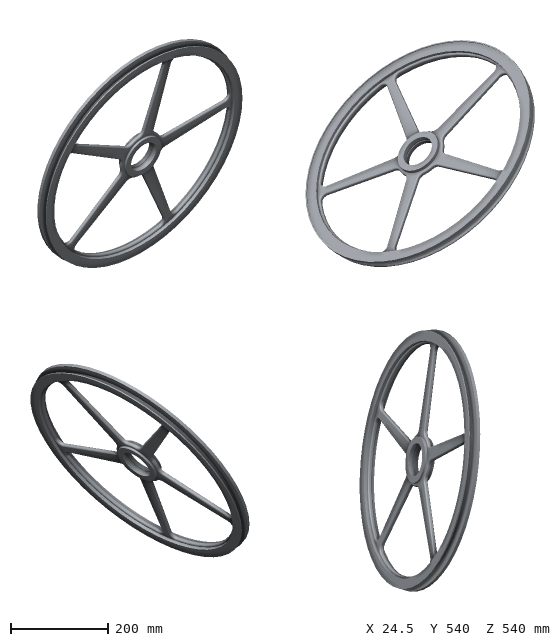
import cadquery as cq
import math

rim_radius = 270.0
back_flange_radius = 267.0
groove_radius = 250.0
rim_inner_radius = 245.0
wheel_width = 24.5
front_flange_width = 7.0
back_flange_width = 4.0
back_flange_chamfer = 1.5
lip_width = 2.5
lip_height = 1.5

hub_radius = 48.0
hub_width = 22.0
hub_root_fillet = 1.0
bore_radius = 34.0
bore_groove_radius = 35.5
bore_groove_width = 4.5

web_front = 8.0
web_thickness = 9.0
web_edge_fillet = 3.0

spoke_count = 5
window_inner_radius = 55.0
window_outer_radius = 240.5
spoke_inner_half_width = 15.0
spoke_outer_half_width = 9.5
window_hub_corner_radius = 16.0
window_rim_corner_radius = 13.5

spoke_pitch = 360 / spoke_count
bore_groove_front = (hub_width - bore_groove_width) / 2


def disc(radius, front, width):
    """Solid disc about the X axis, from x = front to x = front + width."""
    return cq.Workplane("YZ", origin=(front, 0, 0)).circle(radius).extrude(width)


def rim():
    """Two flanges on a grooved ring."""
    back_flange_front = wheel_width - back_flange_width
    back_flange = disc(back_flange_radius, back_flange_front, back_flange_width)
    back_flange = back_flange.faces("<X").chamfer(back_flange_chamfer)
    front_flange = disc(rim_radius, 0, front_flange_width)
    front_flange = front_flange.cut(disc(rim_radius - lip_width, 0, lip_height))
    body = disc(groove_radius, lip_height, wheel_width - lip_height)
    body = body.union(front_flange).union(back_flange)
    return body.cut(disc(rim_inner_radius, 0, wheel_width))


def window():
    """Opening between two spokes, centred on the +Y axis, with rounded corners."""
    half_pitch = math.radians(spoke_pitch / 2)

    def spoke_side_point(radius, half_width):
        angle = half_pitch - math.asin(half_width / radius)
        return radius * math.cos(angle), radius * math.sin(angle)

    inner_y, inner_z = spoke_side_point(window_inner_radius, spoke_inner_half_width)
    outer_y, outer_z = spoke_side_point(window_outer_radius, spoke_outer_half_width)
    outline = (
        cq.Workplane("YZ", origin=(web_front, 0, 0))
        .moveTo(inner_y, -inner_z)
        .lineTo(outer_y, -outer_z)
        .threePointArc((window_outer_radius, 0), (outer_y, outer_z))
        .lineTo(inner_y, inner_z)
        .threePointArc((window_inner_radius, 0), (inner_y, -inner_z))
        .close()
    )
    opening = outline.extrude(web_thickness)
    opening = opening.edges("|X").edges("<Y").fillet(window_hub_corner_radius)
    return opening.edges("|X").edges(">Y").fillet(window_rim_corner_radius)


def spoked_web():
    """Disc pierced by the windows, whose edges are rounded on both faces."""
    web = disc(rim_inner_radius, web_front, web_thickness)
    opening = window()
    for index in range(spoke_count):
        angle = (index + 0.5) * spoke_pitch
        web = web.cut(opening.rotate((0, 0, 0), (1, 0, 0), angle))
    web_faces = web.faces("<X or >X").vals()
    window_edges = [edge for face in web_faces for wire in face.innerWires() for edge in wire.Edges()]
    return web.newObject(window_edges).fillet(web_edge_fillet)


def add_hub(web):
    """Hub through the web, with a fillet where it meets each web face and a grooved bore."""
    body = web.union(disc(hub_radius, 0, hub_width))
    root_edges = [
        edge
        for edge in body.edges("%CIRCLE").vals()
        if math.isclose(edge.radius(), hub_radius) and 0 < round(edge.Center().x, 3) < hub_width
    ]
    body = body.newObject(root_edges).fillet(hub_root_fillet)
    body = body.cut(disc(bore_radius, 0, hub_width))
    return body.cut(disc(bore_groove_radius, bore_groove_front, bore_groove_width))


result = rim().union(add_hub(spoked_web()))